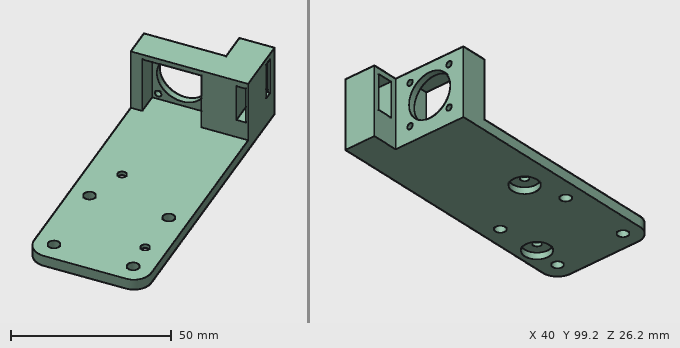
import cadquery as cq

width = 40.0
length = 99.25
height = 26.2
plate_thickness = 4.0
corner_radius = 6.0

wall_depth = 10.0
tower_depth = 10.0
tower_left = 28.0
wall_front = length - tower_depth - wall_depth
wall_back = length - tower_depth

fan_center_x = 14.0
fan_center_z = 14.1
fan_width = 20.1
fan_top = 24.3
fan_recess_depth = 7.5
fan_bore_diameter = 17.0
fan_screw_diameter = 2.2
fan_screw_spacing = 16.1

slot_bottom = 10.7
slot_top = 24.0
front_slot_left = 36.0
front_slot_right = 39.2
side_slot_front = length - 7.8
side_slot_back = length - 2.1
window_front = length - 6.4
window_back = length - 3.4

mount_diameter = 4.0
mount_spacing = 27.0
mount_center_y = 20.0
small_hole_diameter = 3.0
small_hole_lip = 1.5
counterbore_diameter = 10.0
small_hole_points = [(11.3, 47.4), (33.0, 16.9)]


def box_between(x_range, y_range, z_range):
    """Box spanning the given low and high limits along each axis."""
    size = [high - low for low, high in (x_range, y_range, z_range)]
    corner = (x_range[0], y_range[0], z_range[0])
    return cq.Workplane("XY").box(*size, centered=False).translate(corner)


def make_body():
    """Rounded plate with the wall and the tower standing on its rear end."""
    plate = box_between((0, width), (0, wall_back), (0, plate_thickness))
    plate = plate.edges("|Z and <Y").fillet(corner_radius)
    wall = box_between((0, width), (wall_front, wall_back), (0, height))
    tower = box_between((tower_left, width), (wall_back, length), (0, height))
    return plate.union(wall).union(tower)


def make_fan_mount():
    """Square recess, air bore and four screw holes of the fan."""
    recess = box_between(
        (fan_center_x - fan_width / 2, fan_center_x + fan_width / 2),
        (wall_front, wall_front + fan_recess_depth),
        (plate_thickness, fan_top),
    )
    bore = (
        cq.Workplane("XZ", origin=(fan_center_x, wall_back, fan_center_z))
        .circle(fan_bore_diameter / 2)
        .extrude(wall_depth)
    )
    screws = (
        cq.Workplane("XZ", origin=(fan_center_x, wall_back, fan_center_z))
        .rect(fan_screw_spacing, fan_screw_spacing, forConstruction=True)
        .vertices()
        .circle(fan_screw_diameter / 2)
        .extrude(wall_depth)
    )
    return recess.union(bore).union(screws)


def make_tower_slots():
    """Slot from the front meeting a side slot, with a narrower window out to the right."""
    slot_height = (slot_bottom, slot_top)
    front_slot = box_between((front_slot_left, front_slot_right), (wall_front, side_slot_back), slot_height)
    side_slot = box_between((tower_left, front_slot_right), (side_slot_front, side_slot_back), slot_height)
    window = box_between((front_slot_left, width), (window_front, window_back), slot_height)
    return front_slot.union(side_slot).union(window)


def make_plate_holes():
    """Square pattern of mounting holes and two smaller holes counterbored from below."""
    mounts = (
        cq.Workplane("XY", origin=(width / 2, mount_center_y, 0))
        .rect(mount_spacing, mount_spacing, forConstruction=True)
        .vertices()
        .circle(mount_diameter / 2)
        .extrude(plate_thickness)
    )
    small_holes = (
        cq.Workplane("XY")
        .pushPoints(small_hole_points)
        .circle(small_hole_diameter / 2)
        .extrude(plate_thickness)
    )
    counterbores = (
        cq.Workplane("XY")
        .pushPoints(small_hole_points)
        .circle(counterbore_diameter / 2)
        .extrude(plate_thickness - small_hole_lip)
    )
    return mounts.union(small_holes).union(counterbores)


result = make_body().cut(make_fan_mount()).cut(make_tower_slots()).cut(make_plate_holes())